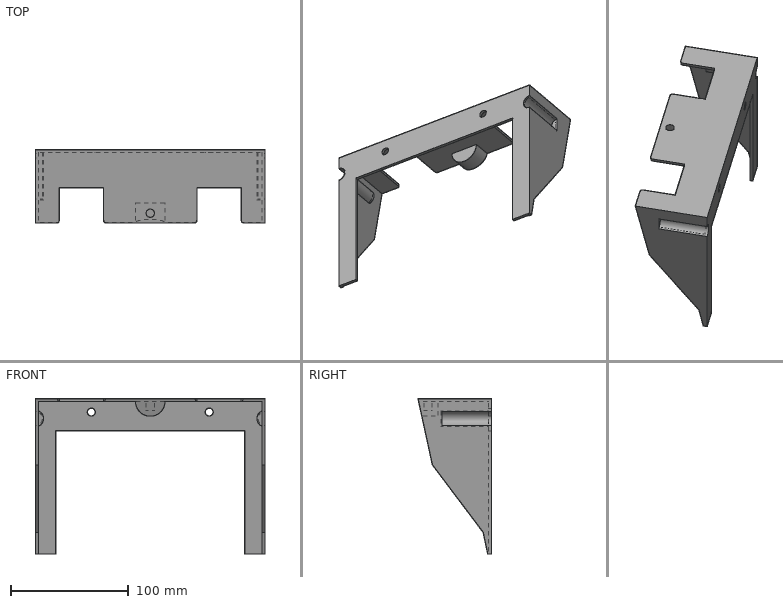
import cadquery as cq

width = 194.9
depth = 62.51
height = 132.0
wall = 2.5
half_width = width / 2
front_y = -depth

opening_width = 160.0
crossbar_height = 25.0 + wall

side_knee_y = -50.3
side_knee_z = -56.2
side_ankle_y = -7.2
side_ankle_z = -113.5
side_foot_y = -3.4

notch_width = 37.5
notch_depth = 30.0
notch_offset = 58.4
corner_radius = 2.5

screw_hole_diameter = 6.5
screw_hole_spacing = 100.0
screw_hole_z = -11.5

boss_radius = 12.5
boss_hole_diameter = 7.0
boss_hole_setback = 8.5
boss_length = 2 * boss_hole_setback
boss_hole_depth = 10.0

groove_radius = 6.0
groove_length = 42.0
groove_z = -17.0
rib_wall = 1.0
rib_radius = groove_radius + rib_wall
rib_length = groove_length + rib_wall


def make_top_plate():
    """Top plate with two notches and rounded notch corners."""
    plate = cq.Workplane("XY").box(width, depth, wall, centered=(True, False, False))
    plate = plate.translate((0, front_y, -wall))
    for side in (-1, 1):
        notch = cq.Workplane("XY").box(notch_width, notch_depth, wall, centered=(True, False, False))
        plate = plate.cut(notch.translate((side * notch_offset, front_y, -wall)))
        for edge_x in (notch_offset - notch_width / 2, notch_offset + notch_width / 2):
            corner = cq.selectors.NearestToPointSelector((side * edge_x, front_y, -wall / 2))
            plate = plate.edges("|Z").edges(corner).fillet(corner_radius)
    return plate


def make_back_wall():
    """Back wall: a crossbar with two legs and two screw holes."""
    back = cq.Workplane("XY").box(width, wall, height, centered=(True, False, False))
    back = back.translate((0, -wall, -height))
    opening_height = height - crossbar_height
    opening = cq.Workplane("XY").box(opening_width, wall, opening_height, centered=(True, False, False))
    back = back.cut(opening.translate((0, -wall, -height)))
    holes = (
        cq.Workplane("XZ")
        .pushPoints([(-screw_hole_spacing / 2, screw_hole_z), (screw_hole_spacing / 2, screw_hole_z)])
        .circle(screw_hole_diameter / 2)
        .extrude(wall)
    )
    return back.cut(holes)


def make_side_wall():
    """Right side wall before its front edge is tapered."""
    panel = cq.Workplane("XY").box(wall, depth, height, centered=False)
    return panel.translate((half_width - wall, front_y, -height))


def make_side_rod(radius, length):
    """Cylinder along the right outer side face, running forward from the back face."""
    return cq.Workplane("XZ").center(half_width, groove_z).circle(radius).extrude(length)


def make_boss():
    """Half-round boss hanging from the underside of the top plate."""
    return (
        cq.Workplane("XZ", origin=(0, front_y + boss_length, -wall))
        .moveTo(-boss_radius, 0)
        .threePointArc((0, -boss_radius), (boss_radius, 0))
        .close()
        .extrude(boss_length)
    )


def make_boss_hole():
    """Blind hole from the top face into the boss."""
    return (
        cq.Workplane("XY", origin=(0, front_y + boss_hole_setback, 0))
        .circle(boss_hole_diameter / 2)
        .extrude(-boss_hole_depth)
    )


def make_side_profile():
    """Full-width prism of the side outline; it slants every front edge alike."""
    outline = [
        (0, 0),
        (front_y, 0),
        (side_knee_y, side_knee_z),
        (side_ankle_y, side_ankle_z),
        (side_foot_y, -height),
        (0, -height),
    ]
    return cq.Workplane("YZ", origin=(-half_width, 0, 0)).polyline(outline).close().extrude(width)


right_side = make_side_wall().union(make_side_rod(rib_radius, rib_length))
right_groove = make_side_rod(groove_radius, groove_length)

result = make_top_plate().union(make_back_wall()).union(make_boss())
result = result.union(right_side).union(right_side.mirror("YZ"))
result = result.intersect(make_side_profile())
result = result.cut(right_groove).cut(right_groove.mirror("YZ"))
result = result.cut(make_boss_hole())